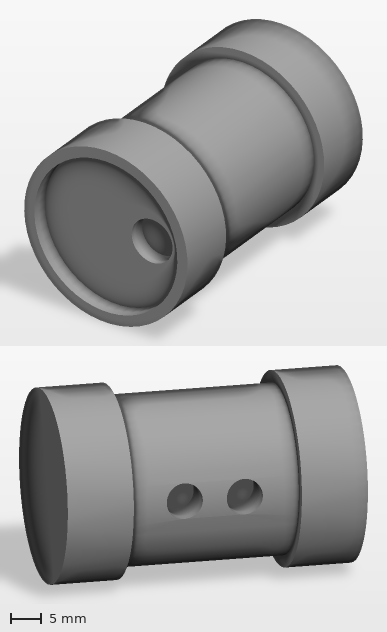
import cadquery as cq

length = 50.0
collar_diameter = 32.0
collar_width = 11.0
barrel_diameter = 28.0

recess_diameter = barrel_diameter
recess_depth = 3.0
end_hole_diameter = 8.0
end_hole_offset = 7.0
end_hole_depth = 3.0

side_hole_diameter = 6.0
side_hole_spacing = 10.0
side_hole_depth = 6.0


def cylinder_along_y(diameter, y_start, height, x=0.0):
    """Cylinder that starts at y_start and runs toward +Y."""
    return cq.Workplane(
        cq.Solid.makeCylinder(diameter / 2, height, cq.Vector(x, y_start, 0), cq.Vector(0, 1, 0))
    )


def side_hole(y):
    """Cutter that enters the barrel from -X and ends at the hole floor."""
    start = cq.Vector(-barrel_diameter / 2, y, 0)
    return cq.Workplane(
        cq.Solid.makeCylinder(side_hole_diameter / 2, side_hole_depth, start, cq.Vector(1, 0, 0))
    )


front_end = -length / 2
recess_floor = front_end + recess_depth

result = cylinder_along_y(barrel_diameter, front_end, length)
for collar_start in (front_end, length / 2 - collar_width):
    result = result.union(cylinder_along_y(collar_diameter, collar_start, collar_width))

result = result.cut(cylinder_along_y(recess_diameter, front_end, recess_depth))
result = result.cut(cylinder_along_y(end_hole_diameter, recess_floor, end_hole_depth, end_hole_offset))

for hole_y in (-side_hole_spacing / 2, side_hole_spacing / 2):
    result = result.cut(side_hole(hole_y))